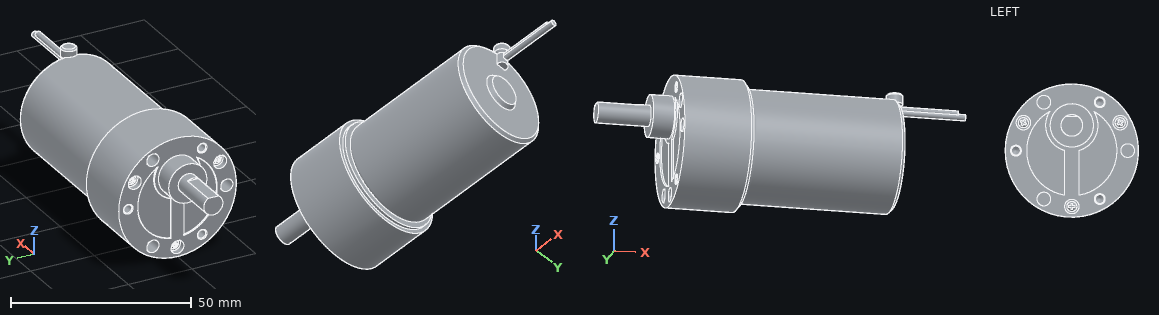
import cadquery as cq
import math


SHAFT_FLAT_END = 12.0
BOSS_FACE = 15.0
GEARBOX_FACE = 21.0
GEARBOX_BACK = 40.0
FLANGE_BACK = 41.0
CAN_BACK = 84.5
HUB_BACK = 85.8
UPPER_LEAD_END = 102.9
LOWER_LEAD_END = 104.99

SHAFT_OFFSET = 7.0
SHAFT_RADIUS = 3.0
SHAFT_FLAT_HEIGHT = 2.5
BOSS_RADIUS = 6.0

GEARBOX_RADIUS = 18.5
FLANGE_RADIUS = 17.25
CAN_RADIUS = 16.0
CAN_FRONT_ROUND = 1.2
CAN_BACK_CHAMFER = 1.0
HUB_BASE_RADIUS = 5.65
HUB_END_RADIUS = 4.65

RECESS_RADIUS = 12.5
RECESS_DEPTH = 0.5
RECESS_BOSS_RADIUS = 7.25
RIB_WIDTH = 4.0

BOLT_CIRCLE_RADIUS = 15.5
PLAIN_HOLE_ANGLES = (60, 180, 300)
TAPPED_HOLE_ANGLES = (0, 120, 240)
SCREW_ANGLES = (30, 150, 270)
PLAIN_HOLE_RADIUS = 1.9
PLAIN_HOLE_DEPTH = 5.0
TAPPED_HOLE_RADIUS = 1.25
TAPPED_MOUTH_RADIUS = 1.5
TAPPED_HOLE_DEPTH = 5.0
DRILL_POINT_ANGLE = 118.0
SCREW_POCKET_RADIUS = 2.0
SCREW_POCKET_DEPTH = 2.0
SCREW_DOME_RADIUS = 1.4
SCREW_DOME_HEIGHT = 0.7
CROSS_LENGTH = 1.7
CROSS_WIDTH = 0.5

GROMMET_X = 84.9
GROMMET_RADIUS = 2.35
GROMMET_TOP = 18.25
GROMMET_BOTTOM = 15.4
GROMMET_CHAMFER = 0.5
STEM_RADIUS = 1.65
STEM_TOP = 14.7
STEM_BOTTOM = 10.6
LEAD_RADIUS = 0.9
UPPER_LEAD_HEIGHT = 13.9
LOWER_LEAD_HEIGHT = 12.97


def rod(start, end, radius, y=0.0, z=0.0):
    """Cylinder parallel to X."""
    return cq.Workplane("YZ", origin=(start, y, z)).circle(radius).extrude(end - start)


def turned(points, y=0.0, z=0.0):
    """Solid turned about a line parallel to X from (distance along X, radius) points."""
    profile = cq.Workplane("XY", origin=(0, y, z)).polyline(points).close()
    return profile.revolve(360, (0, 0, 0), (1, 0, 0))


def bolt_position(angle):
    turn = math.radians(angle)
    return BOLT_CIRCLE_RADIUS * math.cos(turn), BOLT_CIRCLE_RADIUS * math.sin(turn)


def output_shaft():
    shaft = rod(0, GEARBOX_FACE, SHAFT_RADIUS, z=SHAFT_OFFSET)
    flat_bottom = SHAFT_OFFSET + SHAFT_FLAT_HEIGHT
    flat = cq.Workplane("XY", origin=(0, 0, flat_bottom)).box(
        SHAFT_FLAT_END, 2 * SHAFT_RADIUS, SHAFT_RADIUS, centered=(False, True, False)
    )
    boss = rod(BOSS_FACE, GEARBOX_FACE, BOSS_RADIUS, z=SHAFT_OFFSET)
    return shaft.cut(flat).union(boss)


def face_recess():
    """Round recess interrupted by a land around the boss and a rib below it."""
    floor = GEARBOX_FACE + RECESS_DEPTH
    disc = rod(GEARBOX_FACE, floor, RECESS_RADIUS)
    land = rod(GEARBOX_FACE, floor, RECESS_BOSS_RADIUS, z=SHAFT_OFFSET)
    rib = cq.Workplane("XY", origin=(GEARBOX_FACE, 0, -RECESS_RADIUS)).box(
        RECESS_DEPTH, RIB_WIDTH, RECESS_RADIUS + SHAFT_OFFSET, centered=(False, True, False)
    )
    return disc.cut(land).cut(rib)


def tapped_hole(angle):
    y, z = bolt_position(angle)
    mouth_depth = TAPPED_MOUTH_RADIUS - TAPPED_HOLE_RADIUS
    bottom = GEARBOX_FACE + TAPPED_HOLE_DEPTH
    point_depth = TAPPED_HOLE_RADIUS / math.tan(math.radians(DRILL_POINT_ANGLE / 2))
    return turned(
        [
            (GEARBOX_FACE, 0),
            (GEARBOX_FACE, TAPPED_MOUTH_RADIUS),
            (GEARBOX_FACE + mouth_depth, TAPPED_HOLE_RADIUS),
            (bottom, TAPPED_HOLE_RADIUS),
            (bottom + point_depth, 0),
        ],
        y,
        z,
    )


def screw_pocket(angle):
    """Pocket around a domed screw head with a cross recess."""
    y, z = bolt_position(angle)
    floor = GEARBOX_FACE + SCREW_POCKET_DEPTH
    dome_top = floor - SCREW_DOME_HEIGHT
    sphere_radius = (SCREW_DOME_RADIUS**2 + SCREW_DOME_HEIGHT**2) / (2 * SCREW_DOME_HEIGHT)
    pocket = rod(GEARBOX_FACE, floor, SCREW_POCKET_RADIUS, y, z)
    dome = cq.Workplane("XY").sphere(sphere_radius).translate((dome_top + sphere_radius, y, z))
    cross = cq.Workplane("YZ", origin=(dome_top, 0, 0)).rect(CROSS_LENGTH, CROSS_WIDTH)
    cross = cross.extrude(SCREW_DOME_HEIGHT)
    cross = cross.union(cross.rotate((0, 0, 0), (1, 0, 0), 90))
    cross = cross.rotate((0, 0, 0), (1, 0, 0), angle).translate((0, y, z))
    return pocket.cut(dome).union(cross)


def gearbox():
    body = rod(GEARBOX_FACE, GEARBOX_BACK, GEARBOX_RADIUS).cut(face_recess())
    plain_hole_bottom = GEARBOX_FACE + PLAIN_HOLE_DEPTH
    for angle in PLAIN_HOLE_ANGLES:
        y, z = bolt_position(angle)
        body = body.cut(rod(GEARBOX_FACE, plain_hole_bottom, PLAIN_HOLE_RADIUS, y, z))
    for angle in TAPPED_HOLE_ANGLES:
        body = body.cut(tapped_hole(angle))
    for angle in SCREW_ANGLES:
        body = body.cut(screw_pocket(angle))
    return body


def motor():
    flange = rod(GEARBOX_BACK, FLANGE_BACK, FLANGE_RADIUS)
    can = rod(FLANGE_BACK, CAN_BACK, CAN_RADIUS)
    can = can.faces("<X").edges().fillet(CAN_FRONT_ROUND)
    can = can.faces(">X").edges().chamfer(CAN_BACK_CHAMFER)
    hub = turned(
        [(CAN_BACK, 0), (CAN_BACK, HUB_BASE_RADIUS), (HUB_BACK, HUB_END_RADIUS), (HUB_BACK, 0)]
    )
    return flange.union(can).union(hub)


def grommet():
    """Chamfered cap tapering to a slim stem, turned about a vertical line at the back of the can."""
    profile = cq.Workplane("XZ", origin=(GROMMET_X, 0, 0)).polyline(
        [
            (0, GROMMET_TOP),
            (GROMMET_RADIUS - GROMMET_CHAMFER, GROMMET_TOP),
            (GROMMET_RADIUS, GROMMET_TOP - GROMMET_CHAMFER),
            (GROMMET_RADIUS, GROMMET_BOTTOM),
            (STEM_RADIUS, STEM_TOP),
            (STEM_RADIUS, STEM_BOTTOM),
            (0, STEM_BOTTOM),
        ]
    )
    return profile.close().revolve(360, (0, 0, 0), (0, 1, 0))


def leads():
    upper = rod(CAN_BACK, UPPER_LEAD_END, LEAD_RADIUS, z=UPPER_LEAD_HEIGHT)
    lower = rod(CAN_BACK, LOWER_LEAD_END, LEAD_RADIUS, z=LOWER_LEAD_HEIGHT)
    return upper.union(lower)


result = gearbox().union(output_shaft()).union(motor()).union(grommet()).union(leads())